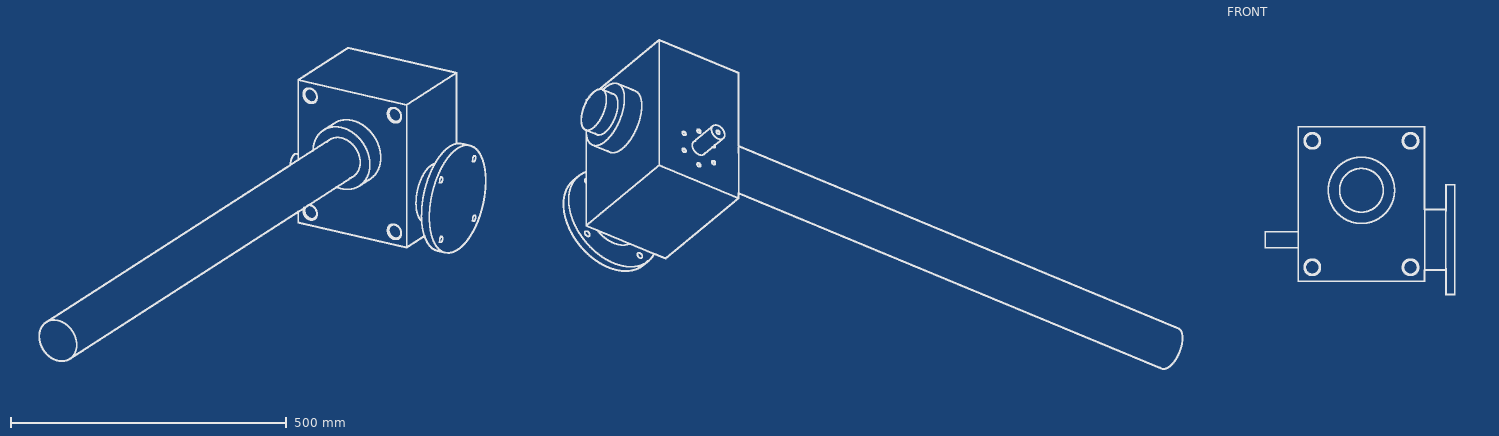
import cadquery as cq
import math


PLUS_X = cq.Vector(1, 0, 0)
PLUS_Y = cq.Vector(0, 1, 0)
DRILL_TIP_ANGLE = 118.0

HOUSING_X = 229.0
HOUSING_Y = 177.0
HOUSING_Z = 280.0
HOUSING_TOP = 115.0
HOUSING_MID_Z = HOUSING_TOP - HOUSING_Z / 2
COLLAR_DIAMETER = 120.0
COLLAR_LENGTH = 38.0

MOUNT_MOUTH_DIAMETER = 30.0
MOUNT_HOLE_DIAMETER = 25.0
MOUNT_HOLE_DEPTH = 51.0
MOUNT_HOLE_INSET = 25.0

RING_MOUTH_DIAMETER = 8.3
RING_HOLE_DIAMETER = 6.7
RING_HOLE_DEPTH = 19.0
RING_HOLE_COUNT = 6
RING_DIAMETER = 75.0
RING_FIRST_HOLE_ANGLE = 90.0

SCREW_DIAMETER = 80.0
SCREW_LENGTH = 1281.0
SCREW_STUB = 25.0
SCREW_END_Y = HOUSING_Y / 2 + COLLAR_LENGTH + SCREW_STUB

SHAFT_Z = -90.0
SHAFT_DIAMETER = 30.0
SHAFT_OVERHANG = 60.0
CENTRE_MOUTH_DIAMETER = 8.3
CENTRE_HOLE_DIAMETER = 6.7
CENTRE_HOLE_DEPTH = 19.0

FLANGE_OVERHANG = 55.0
FLANGE_DIAMETER = 200.0
FLANGE_THICKNESS = 17.0
NECK_DIAMETER = 110.0
NECK_LENGTH = FLANGE_OVERHANG - FLANGE_THICKNESS
FLANGE_HOLE_DIAMETER = 11.0
FLANGE_HOLE_COUNT = 4
FLANGE_HOLE_CIRCLE = 165.0
FLANGE_FIRST_HOLE_ANGLE = 45.0


def cylinder_x(diameter, x_start, length, y=0.0, z=SHAFT_Z):
    """Cylinder along +X, on the worm shaft axis unless another axis is given."""
    return cq.Workplane(cq.Solid.makeCylinder(
        diameter / 2, length, cq.Vector(x_start, y, z), PLUS_X))


def cylinder_y(diameter, y_start, length):
    """Cylinder along +Y on the screw axis."""
    return cq.Workplane(cq.Solid.makeCylinder(
        diameter / 2, length, cq.Vector(0, y_start, 0), PLUS_Y))


def points_on_circle(diameter, count, first_angle):
    """(y, z) points evenly spaced on a circle around the worm shaft axis."""
    angles = [math.radians(first_angle + i * 360.0 / count) for i in range(count)]
    return [(diameter / 2 * math.cos(a), SHAFT_Z + diameter / 2 * math.sin(a)) for a in angles]


def threaded_hole(start, direction, mouth_diameter, diameter, depth):
    """Blind drilled hole with a 45 degree countersunk mouth and a conical drill tip."""
    mouth_radius = mouth_diameter / 2
    radius = diameter / 2
    mouth_depth = mouth_radius - radius
    tip_length = radius / math.tan(math.radians(DRILL_TIP_ANGLE / 2))
    mouth = cq.Solid.makeCone(mouth_radius, radius, mouth_depth, start, direction)
    bore = cq.Solid.makeCylinder(radius, depth, start, direction)
    tip = cq.Solid.makeCone(radius, 0, tip_length, start + direction * depth, direction)
    return cq.Workplane(bore).union(mouth).union(tip)


def make_housing():
    """Block with a collar on each Y face, bored for the screw and the worm shaft."""
    collars_length = HOUSING_Y + 2 * COLLAR_LENGTH
    housing = cq.Workplane().box(HOUSING_X, HOUSING_Y, HOUSING_Z).translate((0, 0, HOUSING_MID_Z))
    housing = housing.union(cylinder_y(COLLAR_DIAMETER, -collars_length / 2, collars_length))
    housing = housing.cut(cylinder_y(SCREW_DIAMETER, -collars_length / 2, collars_length))
    housing = housing.cut(cylinder_x(SHAFT_DIAMETER, -HOUSING_X / 2, HOUSING_X))

    hole_x = HOUSING_X / 2 - MOUNT_HOLE_INSET
    hole_z = HOUSING_Z / 2 - MOUNT_HOLE_INSET
    for x in (-hole_x, hole_x):
        for z in (HOUSING_MID_Z - hole_z, HOUSING_MID_Z + hole_z):
            housing = housing.cut(threaded_hole(
                cq.Vector(x, -HOUSING_Y / 2, z), PLUS_Y,
                MOUNT_MOUTH_DIAMETER, MOUNT_HOLE_DIAMETER, MOUNT_HOLE_DEPTH))

    for y, z in points_on_circle(RING_DIAMETER, RING_HOLE_COUNT, RING_FIRST_HOLE_ANGLE):
        housing = housing.cut(threaded_hole(
            cq.Vector(-HOUSING_X / 2, y, z), PLUS_X,
            RING_MOUTH_DIAMETER, RING_HOLE_DIAMETER, RING_HOLE_DEPTH))
    return housing


def make_screw():
    """Plain round screw passing through the housing and both collars."""
    return cylinder_y(SCREW_DIAMETER, SCREW_END_Y - SCREW_LENGTH, SCREW_LENGTH)


def make_worm_shaft():
    """Shaft through the housing, with a centre hole in its free end."""
    free_end = -HOUSING_X / 2 - SHAFT_OVERHANG
    shaft = cylinder_x(SHAFT_DIAMETER, free_end, SHAFT_OVERHANG + HOUSING_X)
    return shaft.cut(threaded_hole(
        cq.Vector(free_end, 0, SHAFT_Z), PLUS_X,
        CENTRE_MOUTH_DIAMETER, CENTRE_HOLE_DIAMETER, CENTRE_HOLE_DEPTH))


def make_motor_flange():
    """Neck standing on the +X face of the housing, ending in a drilled disc."""
    neck_start = HOUSING_X / 2
    disc_start = neck_start + NECK_LENGTH
    flange = cylinder_x(NECK_DIAMETER, neck_start, NECK_LENGTH)
    flange = flange.union(cylinder_x(FLANGE_DIAMETER, disc_start, FLANGE_THICKNESS))
    for y, z in points_on_circle(FLANGE_HOLE_CIRCLE, FLANGE_HOLE_COUNT, FLANGE_FIRST_HOLE_ANGLE):
        flange = flange.cut(cylinder_x(FLANGE_HOLE_DIAMETER, disc_start, FLANGE_THICKNESS, y, z))
    return flange


housing = make_housing()
screw = make_screw()
worm_shaft = make_worm_shaft()
motor_flange = make_motor_flange()

result = cq.Compound.makeCompound([
    housing.val(),
    screw.val(),
    worm_shaft.val(),
    motor_flange.val(),
])